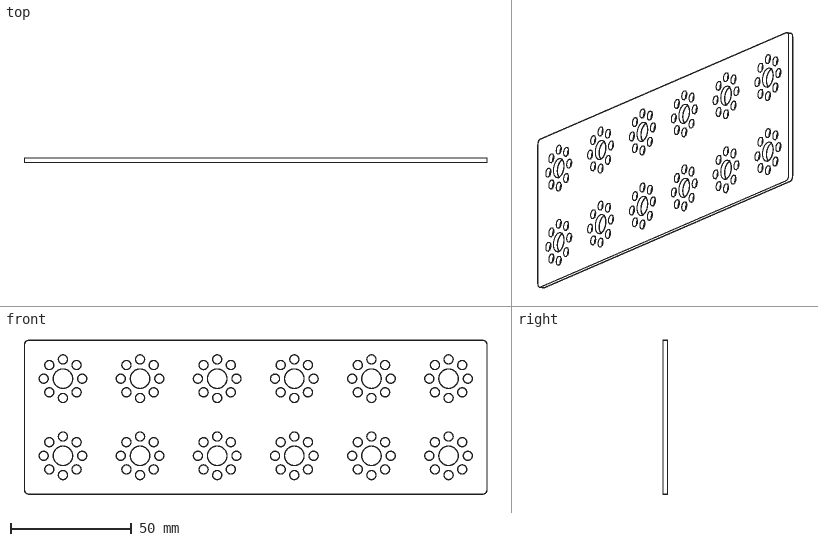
import cadquery as cq

pitch = 32.0
columns = 6
rows = 2

length = columns * pitch
height = rows * pitch
thickness = 2.0
corner_radius = 2.0

center_hole_diameter = 8.0
small_hole_diameter = 3.7
small_hole_count = 8
small_hole_circle_radius = 8.0


def make_plate():
    """Flat plate centred on the origin, with rounded corners."""
    plate = cq.Workplane("XZ").rect(length, height).extrude(thickness / 2, both=True)
    return plate.edges("|Y").fillet(corner_radius)


def cut_hole_cluster(plate, center_x, center_z):
    """Cut a large hole and its surrounding ring of small holes through the plate."""
    center = cq.Workplane("XZ").center(center_x, center_z)
    center_hole = center.circle(center_hole_diameter / 2).extrude(thickness, both=True)
    ring = center.polarArray(small_hole_circle_radius, 0, 360, small_hole_count)
    small_holes = ring.circle(small_hole_diameter / 2).extrude(thickness, both=True)
    return plate.cut(center_hole).cut(small_holes)


result = make_plate()
for column in range(columns):
    for row in range(rows):
        cell_x = (column + 0.5) * pitch - length / 2
        cell_z = (row + 0.5) * pitch - height / 2
        result = cut_hole_cluster(result, cell_x, cell_z)